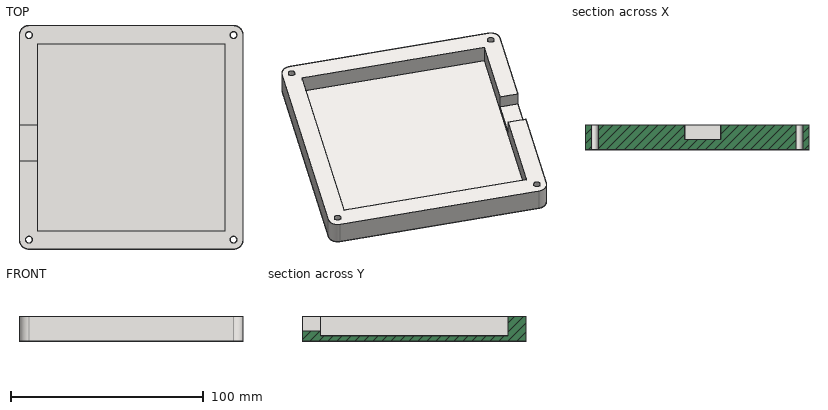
import cadquery as cq

side = 116.0
height = 13.0
corner_radius = 5.0

pocket_side = 97.0
floor_thickness = 3.0

notch_width = 18.5
notch_depth = 7.5
notch_center_y = -2.9

screw_diameter = 3.4
screw_spacing = side - 2 * corner_radius


def make_block():
    block = cq.Workplane("XY").box(side, side, height, centered=(True, True, False))
    return block.edges("|Z").fillet(corner_radius)


def cut_pocket(body):
    pocket_depth = height - floor_thickness
    return body.faces(">Z").workplane().rect(pocket_side, pocket_side).cutBlind(-pocket_depth)


def cut_notch(body):
    wall = (side - pocket_side) / 2
    notch = (
        cq.Workplane("XY")
        .box(wall, notch_width, notch_depth, centered=(False, True, False))
        .translate((-side / 2, notch_center_y, height - notch_depth))
    )
    return body.cut(notch)


def cut_screw_holes(body):
    holes = (
        cq.Workplane("XY")
        .rect(screw_spacing, screw_spacing, forConstruction=True)
        .vertices()
        .circle(screw_diameter / 2)
        .extrude(height)
    )
    return body.cut(holes)


result = make_block()
result = cut_pocket(result)
result = cut_notch(result)
result = cut_screw_holes(result)